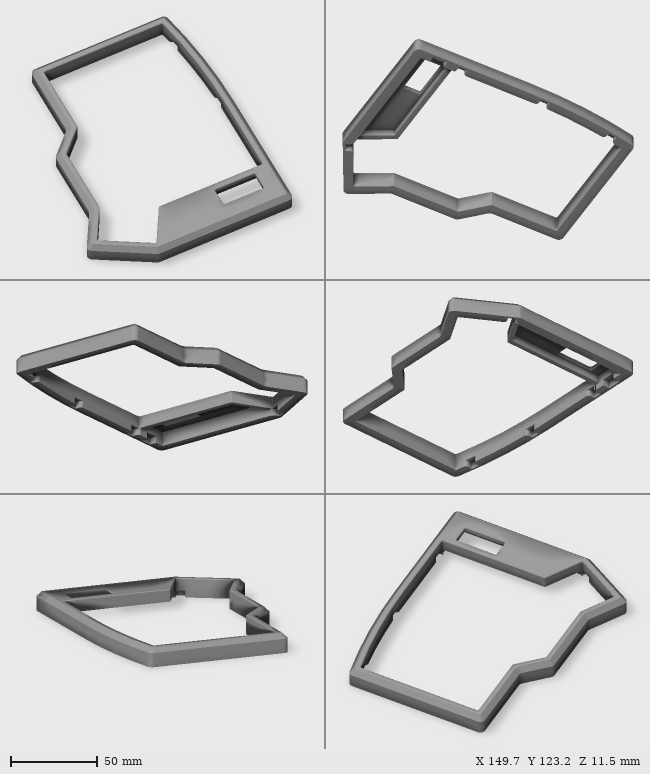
import cadquery as cq
import math

length = 149.7
height = 11.5
wall = 6.0
outer_radius = 3.0
outer_chamfer = 3.0
inner_radius = 0.82
inner_chamfer = 0.5

back_y = 96.1
left_y = 87.9
arc_end_x = 73.4
step_x = 46.9
step_depth = 14.4
front_bend_x = 104.8
right_y = 8.1
skew = math.radians(30)

panel_x = 121.3
panel_roof = 3.0
panel_wall = 3.0
slot_x = 125.5
slot_y = 56.9
slot_width = 11.4
slot_length = 26.2

seat_height = 4.0
tab_depth = 4.5
tab_width = 5.4
tab_flare = 2.0
tab_overlap = 0.1
back_tab_centers = [16.3, 63.5, 118.0]
lower_tab_from_corner = 2.7
square_recess_x = 128.6
square_recess_width = 9.0

bend_to_right_x = length - front_bend_x
bend_to_right_y = right_y + step_depth
tip_distance = bend_to_right_x * math.cos(skew) - bend_to_right_y * math.sin(skew)
tip_x = front_bend_x + tip_distance * math.cos(skew)
tip_y = -step_depth - tip_distance * math.sin(skew)

lower_corner_x = length - wall
lower_corner_y = right_y + wall * math.tan(skew / 2)
panel_y = lower_corner_y + (lower_corner_x - panel_x) * math.tan(skew)

arc_drop = back_y - left_y
arc_radius = (arc_end_x**2 + arc_drop**2) / (2 * arc_drop)


def back_arc_y(x):
    """Y of the outer back edge at a given X."""
    if x >= arc_end_x:
        return back_y
    return back_y - arc_radius + math.sqrt(arc_radius**2 - (arc_end_x - x) ** 2)


def outline():
    """Outer outline with sharp corners."""
    return (
        cq.Workplane("XY")
        .lineTo(step_x, 0)
        .lineTo(step_x + step_depth, -step_depth)
        .lineTo(front_bend_x, -step_depth)
        .lineTo(tip_x, tip_y)
        .lineTo(length, right_y)
        .lineTo(length, back_y)
        .lineTo(arc_end_x, back_y)
        .threePointArc((arc_end_x / 2, back_arc_y(arc_end_x / 2)), (0, left_y))
        .close()
    )


def panel_area(inset, depth):
    """Prism over the panel, its two inner sides moved outward by inset."""
    x = panel_x + inset
    y = panel_y + inset * (1 / math.cos(skew) - math.tan(skew))
    reach = length - panel_x
    return (
        cq.Workplane("XY")
        .moveTo(x, y)
        .lineTo(x + reach, y - reach * math.tan(skew))
        .lineTo(x + reach, back_y)
        .lineTo(x, back_y)
        .close()
        .extrude(depth)
    )


def tab_recess(x, y, angle):
    """Recess entering a wall at (x, y), with flared sides; angle turns it from the +Y direction."""
    half = tab_width / 2
    mid = tab_flare * (1 - math.sqrt(0.5))
    profile = (
        cq.Workplane("XY")
        .moveTo(-half - tab_flare, 0)
        .threePointArc((-half - mid, mid), (-half, tab_flare))
        .lineTo(-half, tab_depth)
        .lineTo(half, tab_depth)
        .lineTo(half, tab_flare)
        .threePointArc((half + mid, mid), (half + tab_flare, 0))
        .lineTo(half + tab_flare, -tab_overlap)
        .lineTo(-half - tab_flare, -tab_overlap)
        .close()
    )
    return profile.extrude(seat_height).rotate((0, 0, 0), (0, 0, 1), angle).translate((x, y, 0))


def corner_edges(shape, seam_y):
    """Upright edges of a prism, without the seam where the back arc meets the straight wall."""
    seam = cq.selectors.BoxSelector(
        (arc_end_x - 1.5, seam_y - 1.5, 0), (arc_end_x + 1.5, seam_y + 1.5, height)
    )
    upright = cq.selectors.ParallelDirSelector(cq.Vector(0, 0, 1))
    return shape.edges(upright - seam)


body = corner_edges(outline().extrude(height), back_y).fillet(outer_radius)
body = body.faces(">Z").chamfer(outer_chamfer)

inside = outline().offset2D(-wall, "intersection").extrude(height)
opening = inside.cut(panel_area(0, height))
body = body.cut(corner_edges(opening, back_y - wall).fillet(inner_radius))

slot = cq.Workplane("XY").box(slot_width, slot_length, height, centered=False)
slot = slot.edges("|Z").fillet(inner_radius)
body = body.cut(slot.translate((slot_x, slot_y, 0)))

top_face = body.faces(">Z").val()
inner_edges = [edge for wire in top_face.innerWires() for edge in wire.Edges()]
body = body.newObject(inner_edges).chamfer(inner_chamfer)

seat = inside.intersect(panel_area(0, seat_height))
hollow = inside.intersect(panel_area(panel_wall, height - panel_roof))
body = body.cut(seat).cut(hollow)

for tab_x in back_tab_centers:
    slope = math.asin(max(arc_end_x - tab_x, 0) / arc_radius)
    tab_y = back_arc_y(tab_x) - wall / math.cos(slope)
    body = body.cut(tab_recess(tab_x, tab_y, math.degrees(slope)))

lower_tab_x = lower_corner_x - lower_tab_from_corner * math.sin(skew)
lower_tab_y = lower_corner_y - lower_tab_from_corner * math.cos(skew)
body = body.cut(tab_recess(lower_tab_x, lower_tab_y, -90 - math.degrees(skew)))

square_recess = cq.Workplane("XY").box(square_recess_width, tab_depth, seat_height, centered=False)
body = body.cut(square_recess.translate((square_recess_x, back_y - wall, 0)))

result = body